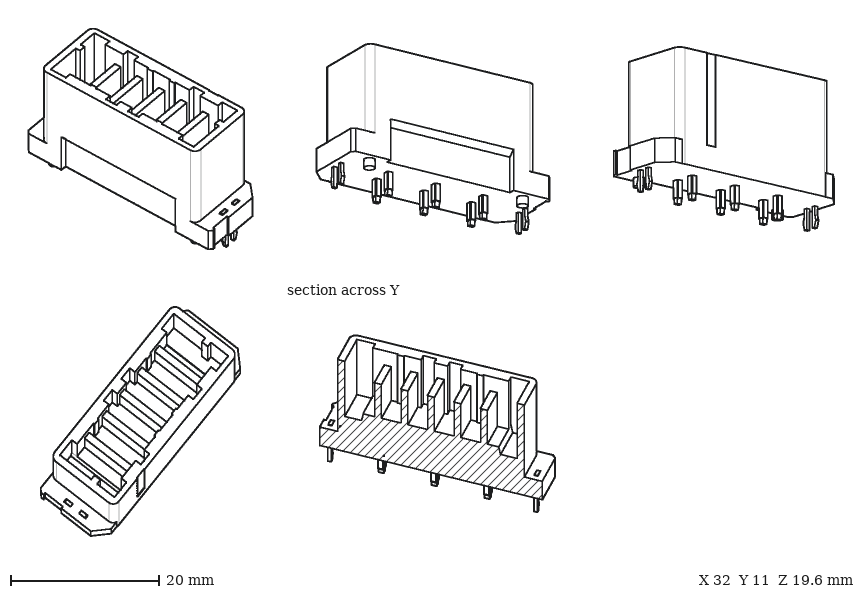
import cadquery as cq


base_length = 32.0
base_height = 3.4
front_y = -5.5
base_back_y = 5.45
back_chamfer = 1.95
front_chamfer = 0.48
end_notch_depth = 0.32
end_notch_y_min = -4.6
end_notch_y_max = -1.6

shroud_length = 26.87
shroud_width = 11.0
shroud_top = 16.3
shroud_radius = 1.0
back_groove_x = 7.6
back_groove_width = 1.55
back_groove_depth = 0.1

cavity_length = 24.75
cavity_width = 9.37
narrow_length = 19.5
narrow_width = 7.6
contact_floor = 7.68
end_floor = contact_floor - 1.28
end_pocket_draft = 0.25
end_key_depth = 0.7
end_key_width = 1.0
end_key_y = 1.2

pitch = 3.8
divider_width = 1.02
divider_top = shroud_top - 2.55
slot_width = 1.85
ridge_width = 0.9
ridge_height = 0.2
back_slot_x = 1.5 * pitch
front_slot_x = 0.5 * pitch

recess_length = 19.75
recess_height = 5.98
recess_depth = 0.9
recess_slope = 0.83

peg_diameter = 1.55
peg_height = 1.18
peg_x = 12.32
peg_y = -4.0

pin_width = 0.93
pin_depth = 1.02
pin_chamfer = 0.13
pin_row_y = 1.47
pin_length = 3.3
pin_shank = 2.5
tip_width = 0.75
tip_root = 0.77
tip_end = 0.58

clip_x = 14.8
clip_width = 0.5
clip_tab_inner_y = 0.75
clip_tab_outer_y = 1.85
clip_tab_bevel = 0.13
clip_tab_height = 0.1
clip_inner_y = 0.58
clip_outer_y = 1.1
clip_bulge_y = 1.3
clip_tip_y = 1.02
clip_bulge_start = 1.15
clip_bulge_peak = 1.98
clip_length = 2.98


def block(x_min, x_max, y_min, y_max, z_min, z_max):
    """Axis-aligned box between the given limits."""
    size = (x_max - x_min, y_max - y_min, z_max - z_min)
    return cq.Workplane("XY").box(*size, centered=False).translate((x_min, y_min, z_min))


def centred_block(x, length, y_min, y_max, z_min, z_max):
    """Axis-aligned box centred on x."""
    return block(x - length / 2, x + length / 2, y_min, y_max, z_min, z_max)


def make_base():
    half = base_length / 2
    outline = [
        (-half, front_y + front_chamfer),
        (-half + front_chamfer, front_y),
        (half - front_chamfer, front_y),
        (half, front_y + front_chamfer),
        (half, base_back_y - back_chamfer),
        (half - back_chamfer, base_back_y),
        (-half + back_chamfer, base_back_y),
        (-half, base_back_y - back_chamfer),
    ]
    base = cq.Workplane("XY").polyline(outline).close().extrude(base_height)
    notch = block(half - end_notch_depth, half, end_notch_y_min, end_notch_y_max, 0, base_height)
    return base.cut(notch)


def make_shroud():
    shroud = centred_block(0, shroud_length, -shroud_width / 2, shroud_width / 2, 0, shroud_top)
    shroud = shroud.edges("|Z").fillet(shroud_radius)
    back = shroud_width / 2
    groove = centred_block(
        back_groove_x, back_groove_width, back - back_groove_depth, back, base_height, shroud_top
    )
    return shroud.cut(groove)


def make_end_pocket(side):
    """Deep pocket at one end (side = -1 or 1), its inner wall drafted below the contact floor."""
    inner_x = narrow_length / 2
    outer_x = cavity_length / 2
    profile = [
        (side * inner_x, shroud_top),
        (side * outer_x, shroud_top),
        (side * outer_x, end_floor),
        (side * (inner_x + end_pocket_draft), end_floor),
        (side * inner_x, contact_floor),
    ]
    pocket = cq.Workplane("XZ").polyline(profile).close().extrude(cavity_width / 2, both=True)
    key = centred_block(
        side * (outer_x - end_key_depth / 2), end_key_depth,
        end_key_y - end_key_width / 2, end_key_y + end_key_width / 2, end_floor, shroud_top,
    )
    return pocket.cut(key)


def make_contact_cavity():
    """Narrow middle cavity with its wall slots, less the dividers and wall ridges."""
    wall_y = narrow_width / 2
    slot_y = cavity_width / 2
    ridge_y = wall_y - ridge_height
    cavity = centred_block(0, narrow_length, -wall_y, wall_y, contact_floor, shroud_top)
    for side in (-1, 1):
        back_x = side * back_slot_x
        front_x = side * front_slot_x
        cavity = cavity.union(centred_block(back_x, slot_width, 0, slot_y, contact_floor, shroud_top))
        cavity = cavity.union(centred_block(front_x, slot_width, -slot_y, 0, contact_floor, shroud_top))
        cavity = cavity.cut(
            centred_block(back_x, ridge_width, -wall_y, -ridge_y, contact_floor, shroud_top)
        )
        cavity = cavity.cut(
            centred_block(front_x, ridge_width, ridge_y, wall_y, contact_floor, shroud_top)
        )
    for step in range(-2, 3):
        cavity = cavity.cut(
            centred_block(step * pitch, divider_width, -wall_y, wall_y, contact_floor, divider_top)
        )
    return cavity


def make_front_recess():
    """Recess under the front face, open at the bottom, with a sloped ceiling."""
    inner_y = front_y + recess_depth
    profile = [
        (front_y, 0),
        (inner_y, 0),
        (inner_y, recess_height - recess_slope),
        (front_y, recess_height),
    ]
    recess = cq.Workplane("YZ").polyline(profile).close()
    return recess.extrude(recess_length / 2, both=True)


def make_peg(x):
    peg = cq.Workplane("XY").circle(peg_diameter / 2).extrude(-peg_height)
    return peg.translate((x, peg_y, 0))


def make_pin(x, y):
    """Rectangular contact pin with chamfered corners and a wedge-shaped tip."""
    shank = centred_block(0, pin_width, -pin_depth / 2, pin_depth / 2, -pin_shank, 0)
    shank = shank.edges("|Z").chamfer(pin_chamfer)
    tip_profile = [
        (-tip_root / 2, -pin_shank),
        (tip_root / 2, -pin_shank),
        (tip_end / 2, -pin_length),
        (-tip_end / 2, -pin_length),
    ]
    tip = cq.Workplane("YZ").polyline(tip_profile).close().extrude(tip_width / 2, both=True)
    return shank.union(tip).translate((x, y, 0))


def make_clip(x, side):
    """Hold-down clip: a bulged leg below the base and a small bevelled tab above it."""
    tab_top = base_height + clip_tab_height
    leg_profile = [
        (side * clip_inner_y, 0),
        (side * clip_outer_y, 0),
        (side * clip_outer_y, -clip_bulge_start),
        (side * clip_bulge_y, -clip_bulge_peak),
        (side * clip_tip_y, -clip_length),
        (side * clip_inner_y, -clip_length),
    ]
    tab_profile = [
        (side * clip_tab_inner_y, base_height),
        (side * clip_tab_outer_y, base_height),
        (side * (clip_tab_outer_y - clip_tab_bevel), tab_top),
        (side * clip_tab_inner_y, tab_top),
    ]
    plane = cq.Workplane("YZ")
    leg = plane.polyline(leg_profile).close().extrude(clip_width / 2, both=True)
    tab = plane.polyline(tab_profile).close().extrude(clip_width / 2, both=True)
    return leg.translate((x, 0, 0)), tab.translate((x, 0, 0))


result = make_base().union(make_shroud())
result = result.cut(make_contact_cavity()).cut(make_front_recess())

for end in (-1, 1):
    result = result.cut(make_end_pocket(end)).union(make_peg(end * peg_x))
    for row in (-1, 1):
        clip_leg, clip_tab = make_clip(end * clip_x, row)
        result = result.union(clip_leg).union(clip_tab)

for column in (-1, 0, 1):
    for row in (-1, 1):
        result = result.union(make_pin(column * 2 * pitch, row * pin_row_y))